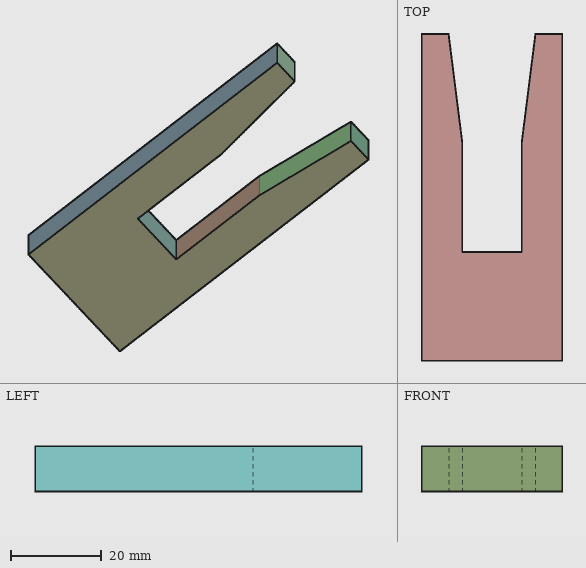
import cadquery as cq

width = 31.0
length = 72.0
thickness = 10.0

base_length = length / 3
taper_start = 2 * length / 3
slot_width = 13.0
tip_width = 6.0

half_slot = slot_width / 2
half_mouth = width / 2 - tip_width

block = cq.Workplane("XY").box(width, length, thickness, centered=(True, False, False))

slot = (
    cq.Workplane("XY")
    .moveTo(-half_slot, base_length)
    .lineTo(half_slot, base_length)
    .lineTo(half_slot, taper_start)
    .lineTo(half_mouth, length)
    .lineTo(-half_mouth, length)
    .lineTo(-half_slot, taper_start)
    .close()
    .extrude(thickness)
)

result = block.cut(slot)